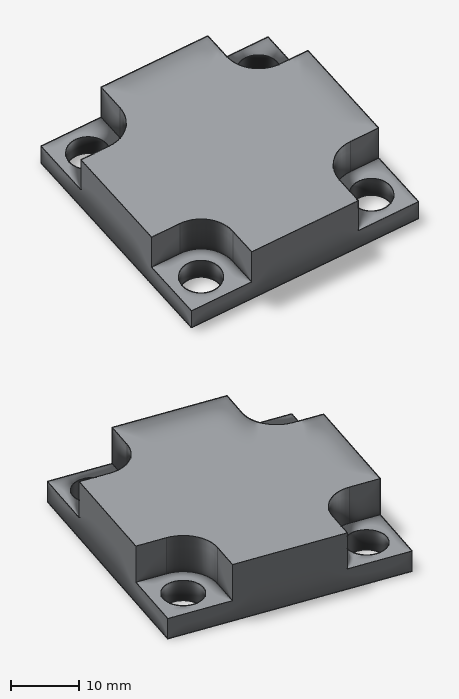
import cadquery as cq

side = 40.0
height = 10.0
flange_thickness = 3.6
hole_inset = 5.0
hole_diameter = 6.6
pocket_radius = 5.6

hole_spacing = side - 2 * hole_inset
pocket_side = hole_inset + pocket_radius


def corner_pocket(x_sign, y_sign):
    """Square corner cutter above the flange, with its inner edge rounded."""
    centre_offset = (side - pocket_side) / 2
    inner_edge = ("<X" if x_sign > 0 else ">X") + " and " + ("<Y" if y_sign > 0 else ">Y")
    return (
        cq.Workplane("XY", origin=(x_sign * centre_offset, y_sign * centre_offset, flange_thickness))
        .rect(pocket_side, pocket_side)
        .extrude(height - flange_thickness)
        .edges("|Z")
        .edges(inner_edge)
        .fillet(pocket_radius)
    )


body = cq.Workplane("XY").box(side, side, height, centered=(True, True, False))

for x_sign in (-1, 1):
    for y_sign in (-1, 1):
        body = body.cut(corner_pocket(x_sign, y_sign))

holes = (
    cq.Workplane("XY")
    .rect(hole_spacing, hole_spacing, forConstruction=True)
    .vertices()
    .circle(hole_diameter / 2)
    .extrude(height)
)
result = body.cut(holes)